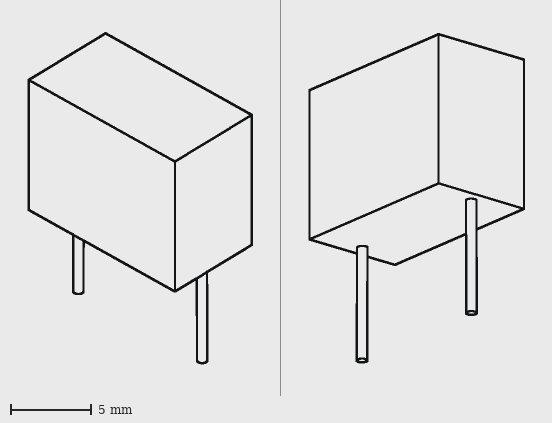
import cadquery as cq

body_length = 12.6
body_width = 6.91
total_height = 17.45

lead_diameter = 0.66
root_spacing = 10.61
tip_spacing = 10.66
root_length = 0.5
splay_length = 4.47
tip_length = 2.53

lead_length = root_length + splay_length + tip_length
body_height = total_height - lead_length


def make_body():
    """Plain rectangular block standing on the plane z = 0."""
    return cq.Workplane("XY").box(
        body_length, body_width, body_height, centered=(True, True, False)
    )


def make_lead(side):
    """Round lead below the body; side is -1 for the -X end and 1 for the +X end."""
    root_x = side * root_spacing / 2
    tip_x = side * tip_spacing / 2
    splay_top = -root_length
    splay_bottom = splay_top - splay_length

    root = (
        cq.Workplane("XY")
        .center(root_x, 0)
        .circle(lead_diameter / 2)
        .extrude(-root_length)
    )
    splay = (
        cq.Workplane("XY", origin=(root_x, 0, splay_top))
        .circle(lead_diameter / 2)
        .workplane(offset=-splay_length)
        .center(tip_x - root_x, 0)
        .circle(lead_diameter / 2)
        .loft(ruled=True)
    )
    tip = (
        cq.Workplane("XY", origin=(tip_x, 0, splay_bottom))
        .circle(lead_diameter / 2)
        .extrude(-tip_length)
    )
    return root.union(splay).union(tip)


body = make_body()
leads = [make_lead(side) for side in (-1, 1)]

result = cq.Compound.makeCompound([body.val(), *[lead.val() for lead in leads]])